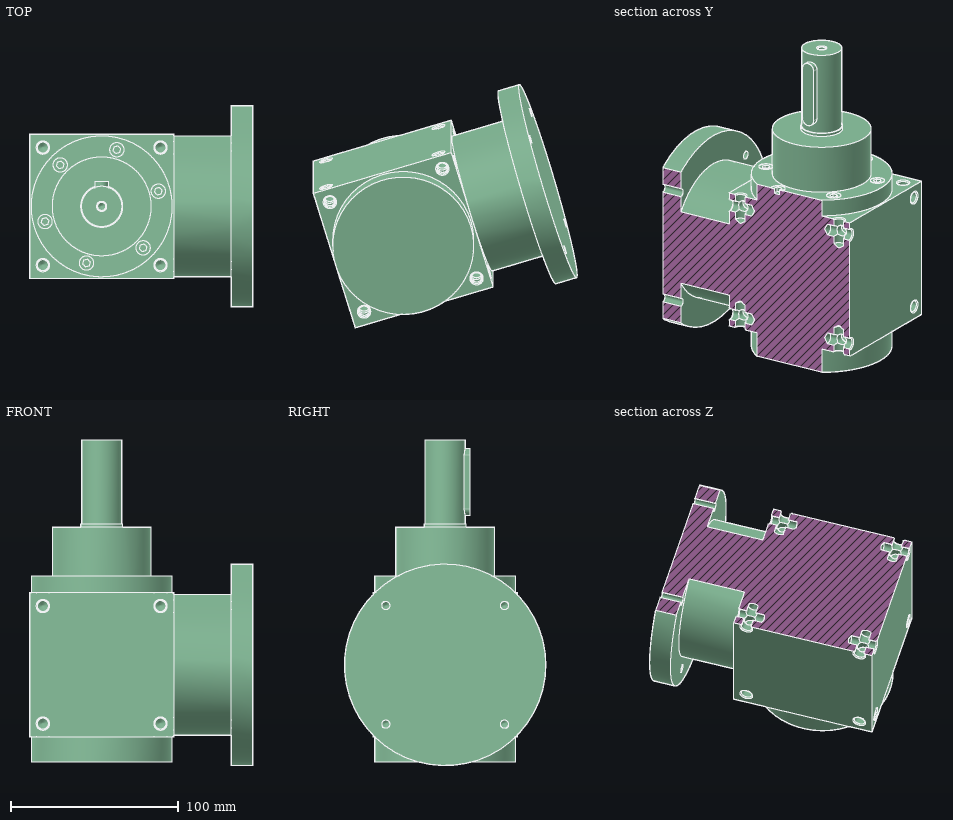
import cadquery as cq
import math


overall_length = 133.0
overall_height = 194.0

case_side = 86.0
half_case = case_side / 2
cover_diameter = 84.0
top_cover_height = 10.0
bottom_cover_height = 15.0
hub_diameter = 59.0

flange_diameter = 120.0
flange_thickness = 13.0
flange_hole_spacing = 70.6
flange_hole_diameter = 4.8
flange_face_x = overall_length - half_case
neck_length = flange_face_x - flange_thickness - half_case

mount_spacing = 70.0
mount_diameter = 6.5
mount_mouth_diameter = 8.0
mount_depth = 16.0

screw_count = 6
screw_circle_radius = 35.0
screw_start_angle = 15
screw_head_diameter = 8.5
screw_head_drop = 0.2
socket_across_flats = 4.0
socket_across_corners = socket_across_flats / math.cos(math.radians(30))
socket_depth = 3.0

shaft_diameter = 24.0
shaft_length = 50.0
collar_diameter = 25.0
collar_height = 2.0
shaft_top_z = overall_height - flange_diameter / 2
shaft_base_z = shaft_top_z - shaft_length
hub_top_z = shaft_base_z - collar_height
cover_top_z = half_case + top_cover_height
centre_hole_diameter = 4.8
centre_hole_mouth_diameter = 6.0
centre_hole_depth = 16.0

key_width = 8.0
key_length = 40.0
key_height = 7.0
key_top_offset = 5.0
key_outer_y = 15.0
key_centre_z = shaft_top_z - key_top_offset - key_length / 2

DRILL_HALF_ANGLE = math.radians(59)


def cylinder(diameter, bottom_z, top_z):
    """Vertical cylinder on the Z axis."""
    return cq.Workplane("XY").workplane(offset=bottom_z).circle(diameter / 2).extrude(top_z - bottom_z)


def drilled_hole(diameter, mouth_diameter, depth, surface_z):
    """Cutter for a blind hole going down from surface_z, with a 45 degree mouth and a drill tip."""
    radius = diameter / 2
    mouth_radius = mouth_diameter / 2
    tip_height = radius / math.tan(DRILL_HALF_ANGLE)
    return (
        cq.Workplane("XZ")
        .moveTo(0, surface_z)
        .lineTo(mouth_radius, surface_z)
        .lineTo(radius, surface_z - (mouth_radius - radius))
        .lineTo(radius, surface_z - depth)
        .lineTo(0, surface_z - depth - tip_height)
        .close()
        .revolve(360, (0, 0, 0), (0, 1, 0))
    )


def make_flange():
    """Neck and round flange on the +X side, with four through holes."""
    neck = cq.Workplane("YZ").workplane(offset=half_case).circle(cover_diameter / 2).extrude(neck_length)
    disc = (
        cq.Workplane("YZ")
        .workplane(offset=half_case + neck_length)
        .circle(flange_diameter / 2)
        .extrude(flange_thickness)
    )
    holes = (
        cq.Workplane("YZ")
        .workplane(offset=half_case + neck_length)
        .rect(flange_hole_spacing, flange_hole_spacing, forConstruction=True)
        .vertices()
        .circle(flange_hole_diameter / 2)
        .extrude(flange_thickness)
    )
    return neck.union(disc.cut(holes))


def cut_mounting_holes(body):
    """Four blind threaded holes in each of the six case faces."""
    hole = drilled_hole(mount_diameter, mount_mouth_diameter, mount_depth, half_case)
    offset = mount_spacing / 2
    face_rotations = [
        ((1, 0, 0), 0),
        ((1, 0, 0), 90),
        ((1, 0, 0), 180),
        ((1, 0, 0), 270),
        ((0, 1, 0), 90),
        ((0, 1, 0), 270),
    ]
    for axis, angle in face_rotations:
        for x in (-offset, offset):
            for y in (-offset, offset):
                body = body.cut(hole.translate((x, y, 0)).rotate((0, 0, 0), axis, angle))
    return body


def cut_screw_heads(body):
    """Ring of screw heads sunk in the top cover, each with a hexagon socket."""
    head_z = cover_top_z - screw_head_drop
    head_recess = cylinder(screw_head_diameter, head_z, cover_top_z)
    socket = (
        cq.Workplane("XY")
        .workplane(offset=head_z - socket_depth)
        .polygon(6, socket_across_corners)
        .extrude(socket_depth)
    )
    screw_head = head_recess.union(socket).translate((screw_circle_radius, 0, 0))
    for index in range(screw_count):
        angle = screw_start_angle + index * 360 / screw_count
        body = body.cut(screw_head.rotate((0, 0, 0), (0, 0, 1), angle))
    return body


def make_housing():
    """Cubic case with its covers, hub, neck and flange."""
    body = cq.Workplane("XY").box(case_side, case_side, case_side)
    body = body.union(cylinder(cover_diameter, half_case, cover_top_z))
    body = body.union(cylinder(hub_diameter, cover_top_z, hub_top_z))
    body = body.union(cylinder(cover_diameter, -half_case - bottom_cover_height, -half_case))
    body = body.union(make_flange())
    body = cut_mounting_holes(body)
    return cut_screw_heads(body)


def make_key():
    """Round-ended key standing out of the +Y side of the shaft."""
    return (
        cq.Workplane("XZ", origin=(0, key_outer_y, key_centre_z))
        .slot2D(key_length, key_width, 90)
        .extrude(key_height)
    )


def make_shaft(key):
    """Shaft with a collar resting on the hub, a centre hole and a keyway that fits the key."""
    body = cylinder(collar_diameter, hub_top_z, shaft_base_z)
    body = body.union(cylinder(shaft_diameter, shaft_base_z, shaft_top_z))
    centre_hole = drilled_hole(
        centre_hole_diameter, centre_hole_mouth_diameter, centre_hole_depth, shaft_top_z
    )
    return body.cut(centre_hole).cut(key)


housing = make_housing()
key = make_key()
shaft = make_shaft(key)

result = cq.Compound.makeCompound([housing.val(), shaft.val(), key.val()])